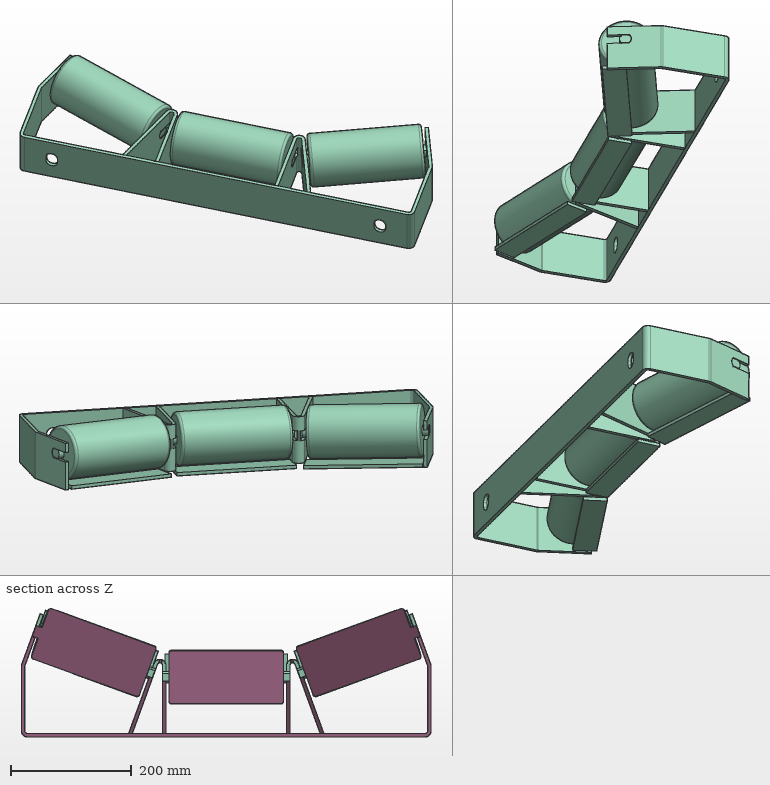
import cadquery as cq
import math

frame_length = 680.0
frame_height = 80.0
sheet = 6.0
bend_radius = 10.0
wall_tip_y = 205.0
bolt_slot_x = 283.0
bolt_slot_width = 20.0
bolt_slot_height = 28.0

roller_length = 190.5
roller_radius = 45.0
roller_edge_radius = 5.0
wall_gap = 200.0
axle_radius = 9.85
axle_flat_width = 15.0
axle_setback = 0.35

slot_width = 16.0
slot_end_radius = 10.0
slot_open_end = 81.5
slot_margin = 1.0

middle_y = 99.0
middle_z = 47.5
side_x = 219.5
side_y = 140.0
side_z = 52.0
side_swing = 20.0
side_tilt = 2.5

strip_width = 40.0
strip_reach = 102.0
strip_reach_at_wall = 97.0
strip_start_y = -1.5
strip_drop = middle_z

LEFT = -1
RIGHT = 1
SIDES = (LEFT, RIGHT)
INNER = -1
OUTER = 1

swing_sin = math.sin(math.radians(side_swing))
swing_cos = math.cos(math.radians(side_swing))
swing_tan = swing_sin / swing_cos
half_gap = wall_gap / 2
axle_length = wall_gap + 2 * (sheet - axle_setback)
inner_bend_radius = bend_radius - sheet


def at_side(body, side, tilted=True):
    """Move a body from roller coordinates to the left or right roller position."""
    if tilted:
        body = body.rotate((0, 0, 0), (0, 1, 0), -side * side_tilt)
    body = body.rotate((0, 0, 0), (0, 0, 1), side * side_swing)
    return body.translate((side * side_x, side_y, side_z))


def at_middle(body):
    return body.translate((0, middle_y, middle_z))


def on_side_axis(distance):
    """Plan position on the right roller axis, measured outwards from the roller middle."""
    return side_x + distance * swing_cos, side_y + distance * swing_sin


def axle_slot(direction, axis_rise=0.0):
    """Cutter for one sheet: rounded at the axle, open towards local +Y."""
    half_width = slot_width / 2
    arc_depth = math.sqrt(slot_end_radius**2 - half_width**2)
    cutter = (
        cq.Workplane("YZ")
        .moveTo(slot_open_end, -half_width)
        .lineTo(-arc_depth, -half_width)
        .threePointArc((-slot_end_radius, 0), (-arc_depth, half_width))
        .lineTo(slot_open_end, half_width)
        .close()
        .extrude(sheet / 2 + slot_margin, both=True)
    )
    return cutter.translate((direction * (half_gap + sheet / 2), 0, axis_rise))


def side_axle_slot(side, axle_end):
    """Cutter for the INNER or OUTER end of a side axle."""
    axis_rise = axle_end * (half_gap + sheet / 2) * math.tan(math.radians(side_tilt))
    return at_side(axle_slot(side * axle_end, axis_rise), side, tilted=False)


def frame_half_outline(inset):
    """Right-hand corner points of the frame, from the back corner to the wall tip."""
    half_length = frame_length / 2 - inset
    face_x, face_y = on_side_axis(half_gap + sheet - inset)
    bend_y = face_y - (half_length - face_x) / swing_tan
    tip_y = wall_tip_y - inset * swing_sin
    tip_x = face_x - (tip_y - face_y) * swing_tan
    return [(half_length, inset), (half_length, bend_y), (tip_x, tip_y)]


def make_frame():
    outer = frame_half_outline(0)
    inner = frame_half_outline(sheet)
    right_half = [(0, 0)] + outer + inner[::-1] + [(0, sheet)]
    half = cq.Workplane("XY").polyline(right_half).close().extrude(frame_height)
    for points, radius in ((outer, bend_radius), (inner, inner_bend_radius)):
        for x, y in points[:2]:
            bend_line = cq.selectors.NearestToPointSelector((x, y, frame_height / 2))
            half = half.edges("|Z").edges(bend_line).fillet(radius)
    frame = half.union(half.mirror("YZ"))
    bolt_slots = (
        cq.Workplane("XZ")
        .pushPoints([(side * bolt_slot_x, frame_height / 2) for side in SIDES])
        .slot2D(bolt_slot_height, bolt_slot_width, 90)
        .extrude(-sheet)
    )
    frame = frame.cut(bolt_slots)
    for side in SIDES:
        frame = frame.cut(side_axle_slot(side, OUTER))
    return frame


def hoop_wedge(inset, apex_radius):
    """Right-hand wedge between a straight leg and a slanted leg, with a rounded apex."""
    straight_x = half_gap + inset
    face_x, face_y = on_side_axis(-half_gap - inset)
    foot_x = face_x + (face_y - sheet) * swing_tan
    apex_y = sheet + (foot_x - straight_x) / swing_tan
    return (
        cq.Workplane("XY")
        .polyline([(straight_x, sheet), (foot_x, sheet), (straight_x, apex_y)])
        .close()
        .extrude(frame_height)
        .edges("|Z and >Y")
        .fillet(apex_radius)
    )


def make_hoop(side):
    hoop = hoop_wedge(0, bend_radius).cut(hoop_wedge(sheet, inner_bend_radius))
    hoop = hoop.cut(at_middle(axle_slot(RIGHT)))
    hoop = hoop.cut(side_axle_slot(RIGHT, INNER))
    if side == LEFT:
        hoop = hoop.mirror("YZ")
    return hoop


def make_roller():
    """Roller and its axle, with flats on the axle ends."""
    barrel = (
        cq.Workplane("YZ")
        .workplane(offset=-roller_length / 2)
        .circle(roller_radius)
        .extrude(roller_length)
        .edges("%CIRCLE")
        .fillet(roller_edge_radius)
    )
    axle = (
        cq.Workplane("YZ")
        .workplane(offset=-axle_length / 2)
        .circle(axle_radius)
        .extrude(axle_length)
    )
    flats = cq.Workplane("XY").box(axle_length, 2 * axle_radius, axle_flat_width)
    return barrel.union(axle.intersect(flats))


def make_strip(left_reach, right_reach):
    return (
        cq.Workplane("XY")
        .box(left_reach + right_reach, strip_width, sheet, centered=False)
        .translate((-left_reach, strip_start_y, -strip_drop - sheet))
    )


frame = make_frame()
hoops = [make_hoop(side) for side in SIDES]
rollers = [at_middle(make_roller())]
rollers += [at_side(make_roller(), side) for side in SIDES]
strips = [
    at_middle(make_strip(strip_reach, strip_reach)),
    at_side(make_strip(strip_reach_at_wall, strip_reach), LEFT),
    at_side(make_strip(strip_reach, strip_reach_at_wall), RIGHT),
]

bodies = [frame] + hoops + rollers + strips
result = cq.Compound.makeCompound([body.solids().val() for body in bodies])